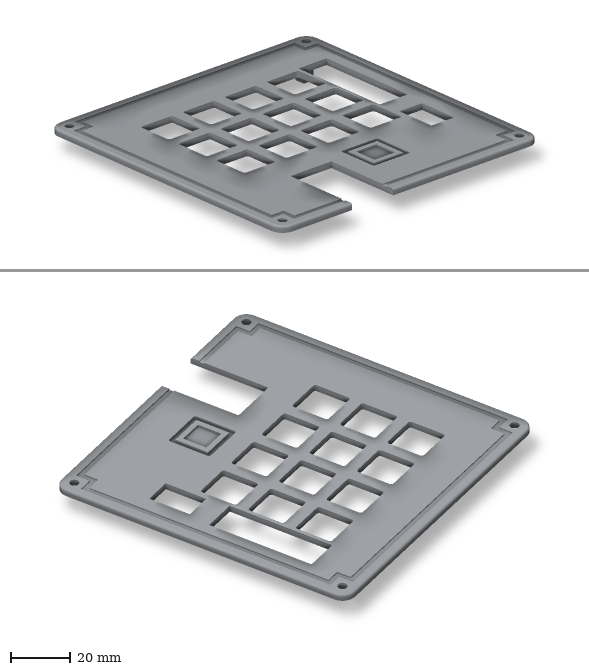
import cadquery as cq

plate_size = 117.5
total_height = 8.0
plate_thickness = 2.5
corner_radius = 5.0
top_edge_radius = 0.9
half_size = plate_size / 2

screw_hole_diameter = 3.4
screw_spacing = plate_size - 2 * corner_radius

groove_inset = 3.4
groove_width = 2.0
groove_depth = 0.5
groove_corner_step = 5.4

key_columns = 3
key_rows = 4
key_pitch = 19.0
key_opening_size = 14.3
key_corner_radius = 0.9
keypad_center = (-10.8, -0.8)

display_size = (41.0, 12.8)
display_center = (-17.9, 42.7)
indicator_size = (16.2, 10.2)
indicator_center = (19.5, 42.4)

pad_center = (31.6, 8.3)
moat_size = 16.7
moat_depth = 1.3
moat_corner_radius = 0.9
island_size = 13.2
recess_size = 9.3
recess_depth = 1.0

notch_depth = 31.1
notch_width = 18.6
notch_center_y = -17.4

peg_size = (4.1, 4.5)
peg_center = (-43.2, 43.5)
peg_length = total_height - plate_thickness


def box_cut(size, center, depth):
    """Block that reaches down from the top face to the given depth."""
    return (
        cq.Workplane("XY", origin=(*center, plate_thickness - depth))
        .rect(*size)
        .extrude(depth)
    )


def stepped_square(inset, depth):
    """Block inset from the plate edge, with a square step removed at each corner."""
    outer = plate_size - 2 * inset
    inner = outer - 2 * groove_corner_step
    center = (0, 0)
    return box_cut((outer, inner), center, depth).union(box_cut((inner, outer), center, depth))


def make_plate():
    return (
        cq.Workplane("XY")
        .rect(plate_size, plate_size)
        .extrude(plate_thickness)
        .edges("|Z")
        .fillet(corner_radius)
        .faces(">Z")
        .edges()
        .fillet(top_edge_radius)
    )


def make_screw_holes():
    return (
        cq.Workplane("XY")
        .rect(screw_spacing, screw_spacing, forConstruction=True)
        .vertices()
        .circle(screw_hole_diameter / 2)
        .extrude(plate_thickness)
    )


def make_groove():
    outer = stepped_square(groove_inset, groove_depth)
    inner = stepped_square(groove_inset + groove_width, groove_depth)
    return outer.cut(inner)


def make_key_openings():
    return (
        cq.Workplane("XY", origin=(*keypad_center, 0))
        .rarray(key_pitch, key_pitch, key_columns, key_rows)
        .rect(key_opening_size, key_opening_size)
        .extrude(plate_thickness)
        .edges("|Z")
        .fillet(key_corner_radius)
    )


def make_pad_cut():
    moat = box_cut((moat_size, moat_size), pad_center, moat_depth)
    moat = moat.edges("|Z").fillet(moat_corner_radius)
    island = box_cut((island_size, island_size), pad_center, moat_depth)
    recess = box_cut((recess_size, recess_size), pad_center, recess_depth)
    return moat.cut(island).union(recess)


def make_notch():
    center = (half_size - notch_depth / 2, notch_center_y)
    return box_cut((notch_depth, notch_width), center, plate_thickness)


def make_peg():
    return (
        cq.Workplane("XY", origin=(*peg_center, 0))
        .rect(*peg_size)
        .extrude(-peg_length)
    )


result = (
    make_plate()
    .cut(make_screw_holes())
    .cut(make_groove())
    .cut(make_key_openings())
    .cut(box_cut(display_size, display_center, plate_thickness))
    .cut(box_cut(indicator_size, indicator_center, plate_thickness))
    .cut(make_pad_cut())
    .cut(make_notch())
    .union(make_peg())
)